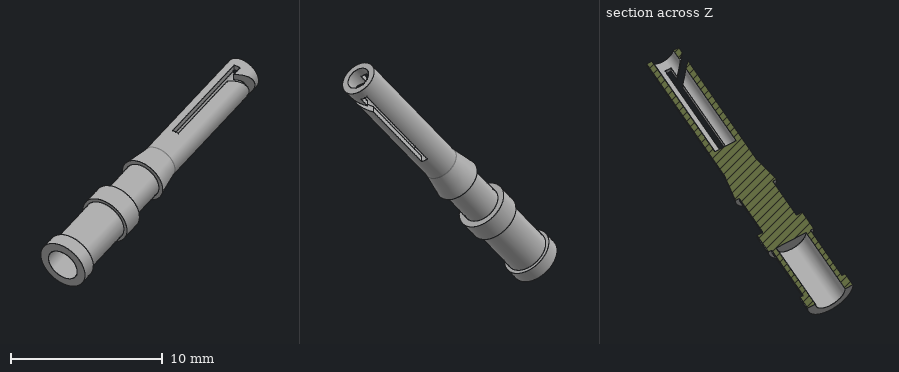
import cadquery as cq
import math

length = 21.5

rim_length = 1.0
crimp_length = 4.0
collar_length = 1.5
neck_length = 2.99
cone_length = 2.0

flange_diameter = 3.5
crimp_diameter = 3.0
neck_diameter = 2.6
cone_diameter = 3.2
socket_diameter = 2.5

crimp_bore_diameter = 2.25
crimp_bore_depth = 5.0
socket_bore_diameter = 1.6

slot_width = 0.45
slot_tip_gap = 0.7
slot_end_from_tip = 8.06
slit_width = 0.5
slit_angle = 45.0
slit_axis_from_tip = 2.06

rim_end = rim_length
crimp_end = rim_end + crimp_length
collar_end = crimp_end + collar_length
neck_end = collar_end + neck_length
cone_end = neck_end + cone_length
slot_start = length - slot_end_from_tip
slot_length = slot_end_from_tip - slot_tip_gap
cut_height = 2 * flange_diameter


def rod(diameter, start, end):
    """Solid cylinder along Y between two positions."""
    plane = cq.Workplane("XZ", origin=(0, start, 0))
    return plane.circle(diameter / 2).extrude(start - end)


def cone():
    """Shoulder that narrows from the neck step down to the socket."""
    profile = [
        (0, neck_end),
        (cone_diameter / 2, neck_end),
        (socket_diameter / 2, cone_end),
        (0, cone_end),
    ]
    return cq.Workplane("XY").polyline(profile).close().revolve(360, (0, 0, 0), (0, 1, 0))


def lengthwise_slot():
    """Straight slot through both walls of the socket."""
    center_y = slot_start + slot_length / 2
    outline = cq.Workplane("XY").center(0, center_y).rect(slot_width, slot_length)
    return outline.extrude(cut_height / 2, both=True)


def oblique_slit():
    """Slit from the part axis out through the +X wall, rising toward the tip."""
    reach = flange_diameter
    angle = math.radians(slit_angle)
    axis_y = length - slit_axis_from_tip
    rise = reach * math.tan(angle)
    half_gap = slit_width / (2 * math.cos(angle))
    outline = [
        (0, axis_y - half_gap),
        (reach, axis_y + rise - half_gap),
        (reach, axis_y + rise + half_gap),
        (0, axis_y + half_gap),
    ]
    return cq.Workplane("XY").polyline(outline).close().extrude(cut_height / 2, both=True)


body = (
    rod(flange_diameter, 0, rim_end)
    .union(rod(crimp_diameter, rim_end, crimp_end))
    .union(rod(flange_diameter, crimp_end, collar_end))
    .union(rod(neck_diameter, collar_end, neck_end))
    .union(cone())
    .union(rod(socket_diameter, cone_end, length))
)

result = (
    body.cut(rod(crimp_bore_diameter, 0, crimp_bore_depth))
    .cut(rod(socket_bore_diameter, slot_start, length))
    .cut(lengthwise_slot())
    .cut(oblique_slit())
)